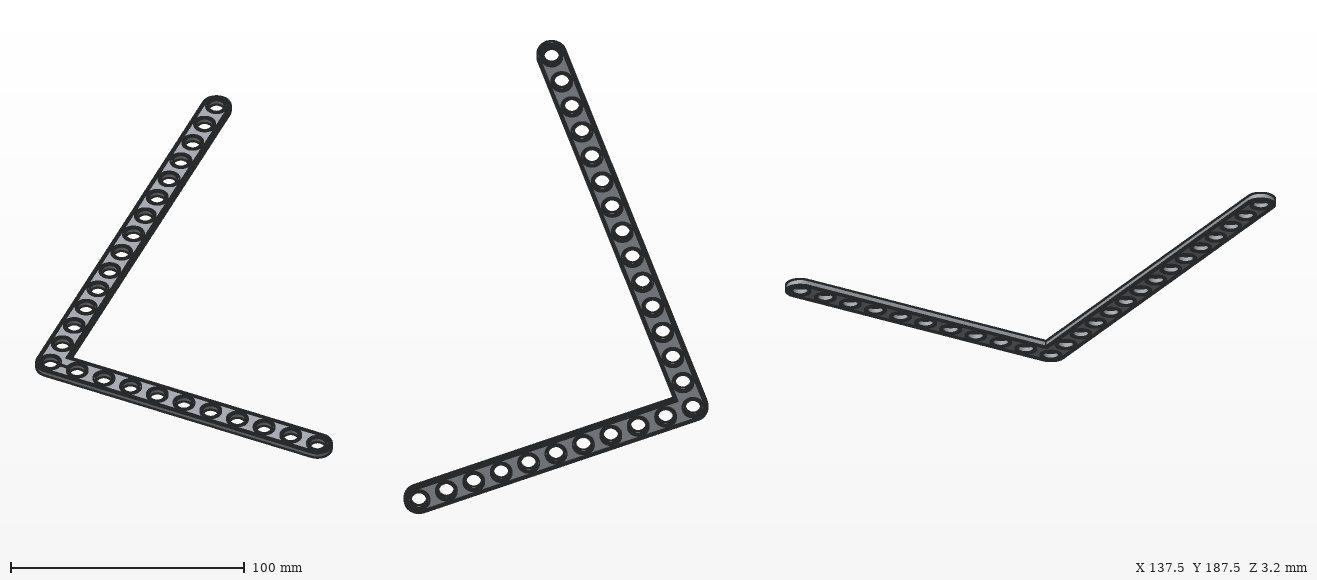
import cadquery as cq

longest_side = 187.5
long_arm_holes = 15
short_arm_holes = 11
thickness = 3.2
hole_diameter = 7.0
border_setback = 0.34
border_width = 0.8
border_height = 0.28
rib_width = 0.5

pitch = longest_side / long_arm_holes
end_radius = pitch / 2
hole_radius = hole_diameter / 2
long_reach = (long_arm_holes - 1) * pitch
short_reach = (short_arm_holes - 1) * pitch

short_arm_centers = [(i * pitch, 0) for i in range(short_arm_holes)]
long_arm_centers = [(0, i * pitch) for i in range(1, long_arm_holes)]
hole_centers = short_arm_centers + long_arm_centers


def plate_layer(setback, height):
    """Perforated L-shaped layer centered on Z = 0, every edge pulled back by the setback."""
    radius = end_radius - setback
    corner_offset = radius * 0.5**0.5
    base = cq.Workplane("XY", origin=(0, 0, -height / 2))
    slab = (
        base.moveTo(0, -radius)
        .lineTo(short_reach, -radius)
        .threePointArc((short_reach + radius, 0), (short_reach, radius))
        .lineTo(radius, radius)
        .lineTo(radius, long_reach)
        .threePointArc((0, long_reach + radius), (-radius, long_reach))
        .lineTo(-radius, 0)
        .threePointArc((-corner_offset, -corner_offset), (0, -radius))
        .close()
        .extrude(height)
    )
    holes = base.pushPoints(hole_centers).circle(hole_radius + setback).extrude(height)
    return slab.cut(holes)


core = plate_layer(0, thickness - 2 * border_height)
border = plate_layer(border_setback, thickness).cut(plate_layer(border_setback + border_width, thickness))

ring_middle_radius = hole_radius + border_setback + border_width / 2
rib = (
    cq.Workplane("XY", origin=(pitch / 2, 0, thickness / 2 - border_height))
    .rect(pitch - 2 * ring_middle_radius, rib_width)
    .extrude(border_height)
)

result = core.union(border).union(rib)